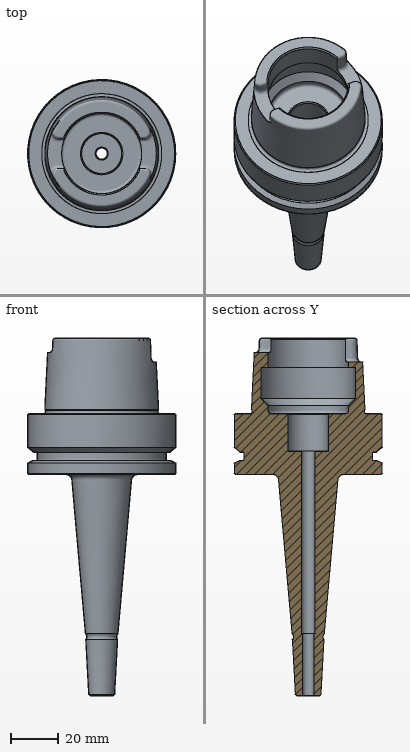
import cadquery as cq
import math


shank_length = 32.0
taper_gauge_diameter = 48.01
taper_gauge_height = 6.3
taper_ratio = 0.1
rim_fillet = 1.0
relief_diameter = 48.04
relief_height = 1.8
relief_step = 0.5
relief_depth = 0.1
relief_fillet = 0.8
relief_outer_diameter = 51.0

flange_diameter = 63.0
flange_thickness = 26.0
flange_chamfer = 0.5
groove_diameter = 55.0
groove_upper_lip_diameter = 58.0
groove_lower_lip_diameter = 58.6
groove_top = 16.45
groove_bottom = 19.9
groove_fillet = 0.3
groove_upper_flare = 2.05
groove_lower_flare = 1.2

nose_end = 120.0
neck_start = 28.5
neck_top_diameter = 25.4
neck_root_diameter = 30.0
neck_end = 93.5
neck_end_diameter = 13.9
waist_length = 2.6
waist_diameter = 12.8
nose_top_diameter = 13.6
nose_angle = 3.0
nose_chamfer = 0.7

clamp_bore_diameter = 34.0
clamp_recess_diameter = 40.0
clamp_recess_top = 19.5
clamp_recess_bottom = 6.4
clamp_bore_floor = 0.0
clamp_floor_fillet = 1.2
clamp_rim_chamfer = 0.6
tube_bore_diameter = 17.0
tube_bore_depth = 16.0
tube_entry_diameter = 18.0
coolant_diameter = 5.5
tool_diameter = 4.76

slot_width = 12.54
slot_flat_end = 18.25
slot_blend_overlap = 0.03
slot_floor_fillet = 1.5
short_slot_floor = 26.0
deep_slot_floor = 22.0


def taper_radius(z):
    return (taper_gauge_diameter - (z - taper_gauge_height) * taper_ratio) / 2


def make_body():
    """Solid of revolution: shank, flange, gripper groove, neck and nose."""
    flange_radius = flange_diameter / 2
    nose_start = neck_end + waist_length
    nose_end_radius = nose_top_diameter / 2 - (nose_end - nose_start) * math.tan(math.radians(nose_angle))
    neck_flare = (neck_root_diameter - neck_top_diameter) / 2
    flare_bulge = 1 - math.sqrt(0.5)
    flare_middle = (
        neck_top_diameter / 2 + neck_flare * flare_bulge,
        -flange_thickness - (neck_start - flange_thickness) * flare_bulge,
    )
    return (
        cq.Workplane("XZ")
        .moveTo(0, shank_length)
        .lineTo(taper_radius(shank_length), shank_length)
        .lineTo(taper_radius(relief_height), relief_height)
        .lineTo(relief_diameter / 2, relief_height - relief_step)
        .lineTo(relief_diameter / 2, relief_fillet - relief_depth)
        .radiusArc((relief_diameter / 2 + relief_fillet, -relief_depth), -relief_fillet)
        .lineTo(relief_outer_diameter / 2, -relief_depth)
        .lineTo(relief_outer_diameter / 2, 0)
        .lineTo(flange_radius - flange_chamfer, 0)
        .lineTo(flange_radius, -flange_chamfer)
        .lineTo(flange_radius, -groove_top + groove_upper_flare)
        .lineTo(groove_upper_lip_diameter / 2, -groove_top)
        .lineTo(groove_diameter / 2 + groove_fillet, -groove_top)
        .radiusArc((groove_diameter / 2, -groove_top - groove_fillet), -groove_fillet)
        .lineTo(groove_diameter / 2, -groove_bottom + groove_fillet)
        .radiusArc((groove_diameter / 2 + groove_fillet, -groove_bottom), -groove_fillet)
        .lineTo(groove_lower_lip_diameter / 2, -groove_bottom)
        .lineTo(flange_radius, -groove_bottom - groove_lower_flare)
        .lineTo(flange_radius, -flange_thickness + flange_chamfer)
        .lineTo(flange_radius - flange_chamfer, -flange_thickness)
        .lineTo(neck_root_diameter / 2, -flange_thickness)
        .threePointArc(flare_middle, (neck_top_diameter / 2, -neck_start))
        .lineTo(neck_end_diameter / 2, -neck_end)
        .threePointArc(
            (waist_diameter / 2, -neck_end - waist_length / 2),
            (nose_top_diameter / 2, -nose_start),
        )
        .lineTo(nose_end_radius, -nose_end + nose_chamfer)
        .lineTo(nose_end_radius - nose_chamfer, -nose_end)
        .lineTo(0, -nose_end)
        .close()
        .revolve(360, (0, 0, 0), (0, 1, 0))
    )


def make_bores():
    """Solid of revolution filling the clamping bore, coolant-tube bore, coolant hole and tool bore."""
    bore_radius = clamp_bore_diameter / 2
    recess_radius = clamp_recess_diameter / 2
    recess_depth = recess_radius - bore_radius
    tube_radius = tube_bore_diameter / 2
    tube_entry_radius = tube_entry_diameter / 2
    tube_chamfer = tube_entry_radius - tube_radius
    tube_floor = clamp_bore_floor - tube_bore_depth
    tool_bore_top = -neck_end
    return (
        cq.Workplane("XZ")
        .moveTo(0, shank_length)
        .lineTo(bore_radius + clamp_rim_chamfer, shank_length)
        .lineTo(bore_radius, shank_length - clamp_rim_chamfer)
        .lineTo(bore_radius, clamp_recess_top)
        .lineTo(recess_radius, clamp_recess_top)
        .lineTo(recess_radius, clamp_recess_bottom)
        .lineTo(bore_radius, clamp_recess_bottom - recess_depth)
        .lineTo(bore_radius, clamp_bore_floor + clamp_floor_fillet)
        .radiusArc((bore_radius - clamp_floor_fillet, clamp_bore_floor), clamp_floor_fillet)
        .lineTo(tube_entry_radius, clamp_bore_floor)
        .lineTo(tube_radius, clamp_bore_floor - tube_chamfer)
        .lineTo(tube_radius, tube_floor)
        .lineTo(coolant_diameter / 2, tube_floor)
        .lineTo(coolant_diameter / 2, tool_bore_top)
        .lineTo(tool_diameter / 2, tool_bore_top)
        .lineTo(tool_diameter / 2, -nose_end)
        .lineTo(0, -nose_end)
        .close()
        .revolve(360, (0, 0, 0), (0, 1, 0))
    )


def draw_slot_section(sketch, z):
    """Slot section at height z, opening outwards around corner arcs that blend into the taper."""
    half_width = slot_width / 2
    reach = taper_radius(z) + slot_blend_overlap
    corner_radius = (reach**2 - slot_flat_end**2 - half_width**2) / (2 * (reach + half_width))
    corner_y = half_width + corner_radius
    end_angle = math.atan2(corner_y, slot_flat_end)
    middle_angle = (end_angle - math.pi / 2) / 2
    middle_x = slot_flat_end + corner_radius * math.cos(middle_angle)
    middle_y = corner_y + corner_radius * math.sin(middle_angle)
    end_x = reach * math.cos(end_angle)
    end_y = reach * math.sin(end_angle)
    outer_x = flange_diameter / 2
    return (
        sketch.moveTo(0, -half_width)
        .lineTo(slot_flat_end, -half_width)
        .threePointArc((middle_x, -middle_y), (end_x, -end_y))
        .lineTo(outer_x, -end_y)
        .lineTo(outer_x, end_y)
        .lineTo(end_x, end_y)
        .threePointArc((middle_x, middle_y), (slot_flat_end, half_width))
        .lineTo(0, half_width)
        .close()
    )


def make_slot(floor):
    """Cutter for the driving slot on +X, with a filleted floor."""
    floor_section = draw_slot_section(cq.Workplane("XY").workplane(offset=floor), floor)
    sections = draw_slot_section(floor_section.workplane(offset=shank_length - floor), shank_length)
    return sections.loft(ruled=True).faces("<Z").edges().fillet(slot_floor_fillet)


body = make_body()
body = body.cut(make_slot(deep_slot_floor))
body = body.cut(make_slot(short_slot_floor).rotate((0, 0, 0), (0, 0, 1), 180))
body = body.faces(">Z").edges().fillet(rim_fillet)
result = body.cut(make_bores())